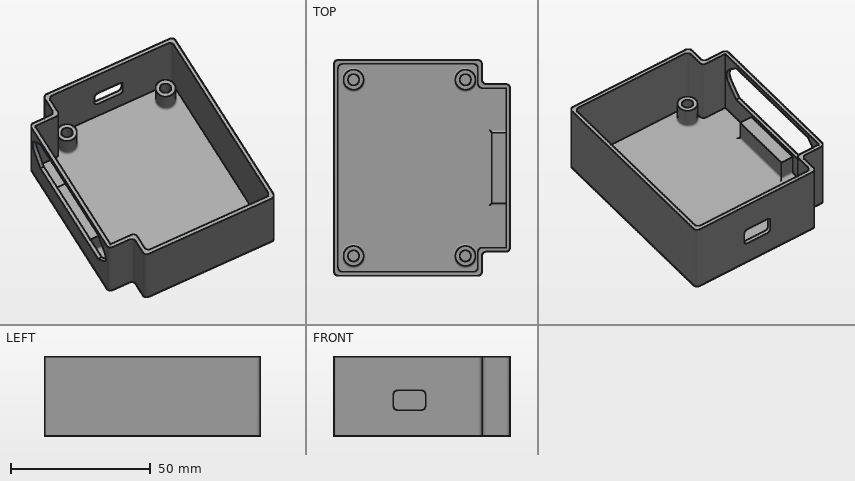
import cadquery as cq

length_x = 63.0
length_y = 77.2
height = 28.4
body_x = 52.95
bay_y = 60.0
wall = 1.5
floor = 1.5
corner_radius = 1.55

post_spacing_x = 40.0
post_spacing_y = 63.0
post_center_x = -4.5
post_diameter = 7.2
post_hole_diameter = 4.0
post_top = 9.5
foot_fillet = 0.9

ledge_depth = 5.0
ledge_length = 25.2

port_width = 11.5
port_height = 7.0
port_center_z = 12.8
port_radius = 1.5

window_height = 15.75
window_flat_length = 43.7
window_center_z = 18.7
window_end_radius = 4.8

left = -length_x / 2
right = length_x / 2
body_right = left + body_x
inner_right = right - wall


def stepped_block(inset, bottom):
    """Prism of the stepped outline, moved inward by inset, up to the rim."""
    half_body = length_y / 2 - inset
    half_bay = bay_y / 2 - inset
    outline = [
        (left + inset, -half_body),
        (body_right - inset, -half_body),
        (body_right - inset, -half_bay),
        (right - inset, -half_bay),
        (right - inset, half_bay),
        (body_right - inset, half_bay),
        (body_right - inset, half_body),
        (left + inset, half_body),
    ]
    return cq.Workplane("XY").workplane(offset=bottom).polyline(outline).close().extrude(height - bottom)


def make_shell():
    outer = stepped_block(0, 0).edges("|Z").fillet(corner_radius)
    cavity = stepped_block(wall, floor)
    cavity = cavity.edges("|Z").edges("not >X").fillet(corner_radius)
    return outer.cut(cavity)


def make_post():
    """Solid post standing on the floor, flared by a concave fillet at its foot."""
    radius = post_diameter / 2
    profile = (
        cq.Workplane("XZ")
        .moveTo(0, floor)
        .lineTo(radius + foot_fillet, floor)
        .radiusArc((radius, floor + foot_fillet), foot_fillet)
        .lineTo(radius, post_top)
        .lineTo(0, post_top)
        .close()
    )
    return profile.revolve(360, (0, 0, 0), (0, 1, 0))


def add_posts(part):
    hole = cq.Workplane("XY").workplane(offset=floor).circle(post_hole_diameter / 2).extrude(post_top - floor)
    post = make_post().cut(hole)
    for side_x in (-1, 1):
        for side_y in (-1, 1):
            x = post_center_x + side_x * post_spacing_x / 2
            y = side_y * post_spacing_y / 2
            part = part.union(post.translate((x, y, 0)))
    return part


def add_ledge(part):
    """Block against the +X wall, blended into the floor by a fillet."""
    ledge = (
        cq.Workplane("XY")
        .box(ledge_depth, ledge_length, post_top - floor, centered=(False, True, False))
        .translate((inner_right - ledge_depth, 0, floor))
    )
    foot_edges = cq.selectors.BoxSelector(
        (inner_right - ledge_depth - foot_fillet, -ledge_length / 2 - foot_fillet, floor - foot_fillet),
        (inner_right, ledge_length / 2 + foot_fillet, floor + foot_fillet),
    )
    return part.union(ledge).edges(foot_edges).edges("not |Z").fillet(foot_fillet)


def make_port():
    return (
        cq.Workplane("XY")
        .box(port_width, 2 * wall, port_height)
        .edges("|Y")
        .fillet(port_radius)
        .translate((post_center_x, -length_y / 2 + wall / 2, port_center_z))
    )


def make_window():
    half_height = window_height / 2
    half_flat = window_flat_length / 2
    half_length = half_flat + half_height
    outline = [
        (-half_flat, -half_height),
        (half_flat, -half_height),
        (half_length, 0),
        (half_flat, half_height),
        (-half_flat, half_height),
        (-half_length, 0),
    ]
    prism = cq.Workplane("YZ").polyline(outline).close().extrude(2 * wall)
    rounded = prism.edges("(<Y or >Y) and |X").fillet(window_end_radius)
    return rounded.translate((right - 1.5 * wall, 0, window_center_z))


shell_with_ledge = add_ledge(make_shell())
result = add_posts(shell_with_ledge).cut(make_port()).cut(make_window())